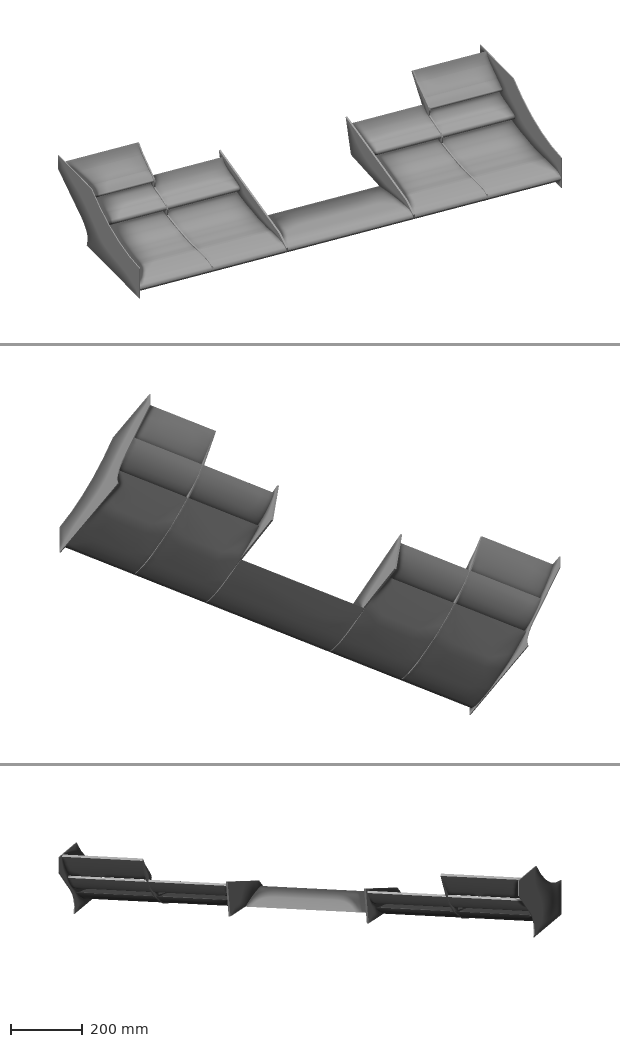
import cadquery as cq
span = 1318.0
center_width = 395.0
half_span = span / 2
inner_plate_y = center_width / 2
panel_width = (half_span - inner_plate_y) / 2
middle_plate_y = inner_plate_y + panel_width

length = 500.0
height = 198.0

end_plate_thickness = 3.0
inner_plate_thickness = 5.0
middle_plate_thickness = 4.0

center_edge = (291.0, 21.0)
nose_tip = (498.9, 29.0)
main_tail = (185.0, 60.0)
nose_arcs = [
    ((484.0, 40.2), (492.0, 37.0)),
    ((496.2, 33.6), nose_tip),
    ((495.0, 24.0), (490.0, 18.0)),
]
belly = [(472.0, 9.0), (444.0, 4.6), (405.0, 4.0), (364.0, 8.0), (327.0, 15.0), center_edge]
main_arcs = [
    ((235.0, 51.0), (289.0, 46.0)),
    ((327.0, 42.0), (364.0, 41.5)),
    ((385.0, 41.5), (405.0, 43.0)),
    ((438.0, 44.2), (472.0, 42.8)),
    *nose_arcs,
]
main_belly = [*belly, (237.0, 40.0), main_tail]
center_arcs = [
    ((369.0, 34.0), (452.0, 42.8)),
    ((461.0, 43.2), (472.0, 42.8)),
    *nose_arcs,
]
lower_flap_tail = (101.0, 119.0)
lower_flap_tip = (107.0, 124.0)
lower_flap_arcs = [
    ((119.0, 111.0), (133.0, 103.5)),
    ((149.0, 99.0), (165.0, 95.5)),
    ((173.0, 94.2), (180.0, 91.6)),
    ((195.0, 88.0), (208.0, 85.0)),
    ((214.2, 81.0), (216.0, 77.1)),
    ((214.0, 71.0), (203.0, 70.0)),
    ((154.0, 82.0), lower_flap_tail),
]
upper_flap_tail = (33.0, 192.0)
upper_flap_tip = (40.0, height)
upper_flap_arcs = [
    ((51.0, 182.0), (65.0, 171.0)),
    ((78.0, 163.0), (92.0, 154.9)),
    ((100.0, 150.0), (108.0, 145.0)),
    ((123.0, 137.0), (136.0, 128.0)),
    ((138.0, 124.0), (136.0, 120.0)),
    ((125.0, 120.6), (112.0, 124.0)),
    ((69.0, 155.0), upper_flap_tail),
]


def profile_plane(y_center, width):
    """XZ sketch plane whose extrusion by width is centred on y_center."""
    return cq.Workplane("XZ", origin=(0, y_center + width / 2, 0))


def wing(y_center, width, start, arcs, tail=None, underside=None):
    """Constant-section wing element; an optional tail point gives a blunt trailing edge.

    Optional underside points are joined by one smooth curve.
    """
    sketch = profile_plane(y_center, width).moveTo(*(tail or start))
    if tail:
        sketch = sketch.lineTo(*start)
    for middle, end in arcs:
        sketch = sketch.threePointArc(middle, end)
    if underside:
        sketch = sketch.spline(underside, includeCurrent=True)
    return sketch.close().extrude(width)


def end_plate(y_center):
    """Tall outer plate with a swept upper edge and a hooked lower front corner."""
    thickness = end_plate_thickness
    return (
        profile_plane(y_center, thickness)
        .moveTo(0, height)
        .lineTo(204.0, height)
        .threePointArc((335.0, 128.0), (length, 98.0))
        .lineTo(length, 0)
        .lineTo(177.0, 0)
        .lineTo(183.0, 22.0)
        .spline([(179.0, 37.0), (167.0, 54.0), (98.0, 99.0)], includeCurrent=True)
        .lineTo(0, 154.0)
        .close()
        .extrude(thickness)
    )


def middle_plate(y_center):
    """Plate that rims all three wing elements and bridges the slots between them."""
    outline = [
        upper_flap_tail, upper_flap_tip,
        (66.0, 175.0), (110.0, 149.0), (138.0, 130.0), (142.0, 123.0),
        (140.0, 105.0), (182.0, 95.0), (211.0, 87.0), (220.0, 76.0),
        (219.0, 58.0), (289.0, 49.0), (364.0, 44.2), (405.0, 46.0), (472.0, 45.5), (493.0, 40.0),
        nose_tip,
        (473.0, 7.0), (435.0, 0), (395.0, 0), (362.0, 5.0), (290.0, 18.0), (236.0, 37.0), (183.0, 59.0),
        (132.0, 90.0), (100.0, 116.0), (67.0, 153.0),
    ]
    thickness = middle_plate_thickness
    return profile_plane(y_center, thickness).polyline(outline).close().extrude(thickness)


def inner_plate(y_center):
    """Deep plate closing the inner end of the lower flap and main element."""
    outline = [(85.0, 135.0), (453.0, 62.0), (498.0, 38.0), nose_tip, (442.0, 8.0), center_edge, (117.0, 29.0)]
    thickness = inner_plate_thickness
    return profile_plane(y_center, thickness).polyline(outline).close().extrude(thickness)


bodies = [wing(0, center_width, center_edge, center_arcs, underside=belly)]
for side in (-1, 1):
    outer_width = half_span - inner_plate_y - inner_plate_thickness / 2
    outer_center = side * (half_span - outer_width / 2)
    bodies += [
        wing(outer_center, outer_width, main_tail, main_arcs, underside=main_belly),
        wing(outer_center, outer_width, lower_flap_tip, lower_flap_arcs, lower_flap_tail),
        wing(side * (half_span + middle_plate_y) / 2, panel_width,
             upper_flap_tip, upper_flap_arcs, upper_flap_tail),
        end_plate(side * (half_span - end_plate_thickness / 2)),
        middle_plate(side * middle_plate_y),
        inner_plate(side * inner_plate_y),
    ]

joined = bodies[0].val().fuse(*[body.val() for body in bodies[1:]])
result = cq.Workplane(joined)